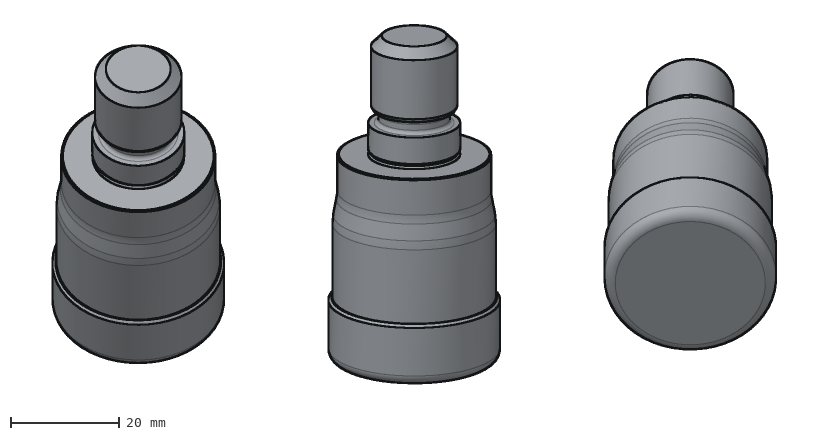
import cadquery as cq
import math

FOOT_RADIUS = 15.9
FOOT_TOP_Z = 12.0
FOOT_TOP_CHAMFER = 0.55
FOOT_BOTTOM_FILLET = 2.0
BARREL_RADIUS = 15.1
NECK_RADIUS = 14.25
HOUSING_TOP_Z = 39.9
HOUSING_TOP_CHAMFER_WIDTH = 0.3
HOUSING_TOP_CHAMFER_HEIGHT = 0.2

TAPER_BOTTOM_Z = 26.4
TAPER_TOP_Z = 32.9
BLEND_HEIGHT = 1.7

TOP_Z = 63.0
SHANK_RADIUS = 8.0
SHANK_BOTTOM_Z = 49.45
TIP_CHAMFER = 2.0
SHANK_END_RADIUS = 7.55
COLLAR_RADIUS = 8.5
COLLAR_TOP_Z = 46.05
COLLAR_BOTTOM_Z = 40.9
UNDERCUT_RADIUS = 6.6
UNDERCUT_FILLET = 0.75
UNDERCUT_TOP_Z = 48.7
GROOVE_RADIUS = 8.05
BASE_FILLET = 0.45


def make_housing():
    """Revolve the housing profile; the taper is an arc, a cone and an arc, all tangent."""
    radius_drop = BARREL_RADIUS - NECK_RADIUS
    taper_height = TAPER_TOP_Z - TAPER_BOTTOM_Z
    cone_angle = math.atan(radius_drop / (taper_height - BLEND_HEIGHT))
    blend_inset = BLEND_HEIGHT * math.tan(cone_angle / 2)
    foot_top_radius = FOOT_RADIUS - FOOT_TOP_CHAMFER
    profile = (
        cq.Workplane("XZ")
        .lineTo(FOOT_RADIUS - FOOT_BOTTOM_FILLET, 0)
        .tangentArcPoint((FOOT_RADIUS, FOOT_BOTTOM_FILLET), relative=False)
        .lineTo(FOOT_RADIUS, FOOT_TOP_Z - FOOT_TOP_CHAMFER)
        .lineTo(foot_top_radius, FOOT_TOP_Z)
        .lineTo(BARREL_RADIUS, FOOT_TOP_Z)
        .lineTo(BARREL_RADIUS, TAPER_BOTTOM_Z)
        .tangentArcPoint((BARREL_RADIUS - blend_inset, TAPER_BOTTOM_Z + BLEND_HEIGHT), relative=False)
        .lineTo(NECK_RADIUS + blend_inset, TAPER_TOP_Z - BLEND_HEIGHT)
        .tangentArcPoint((NECK_RADIUS, TAPER_TOP_Z), relative=False)
        .lineTo(NECK_RADIUS, HOUSING_TOP_Z - HOUSING_TOP_CHAMFER_HEIGHT)
        .lineTo(NECK_RADIUS - HOUSING_TOP_CHAMFER_WIDTH, HOUSING_TOP_Z)
        .lineTo(0, HOUSING_TOP_Z)
        .close()
    )
    return profile.revolve(360, (0, 0, 0), (0, 1, 0))


def make_stud():
    """Revolve the stud profile from its foot on the housing up to the tip."""
    groove_bottom_z = COLLAR_BOTTOM_Z - (COLLAR_RADIUS - GROOVE_RADIUS)
    base_radius = GROOVE_RADIUS + BASE_FILLET
    undercut_fillet_radius = UNDERCUT_RADIUS + UNDERCUT_FILLET
    undercut_bottom_z = COLLAR_TOP_Z + UNDERCUT_FILLET
    profile = (
        cq.Workplane("XZ")
        .moveTo(0, HOUSING_TOP_Z)
        .lineTo(base_radius, HOUSING_TOP_Z)
        .radiusArc((GROOVE_RADIUS, HOUSING_TOP_Z + BASE_FILLET), -BASE_FILLET)
        .lineTo(GROOVE_RADIUS, groove_bottom_z)
        .lineTo(COLLAR_RADIUS, COLLAR_BOTTOM_Z)
        .lineTo(COLLAR_RADIUS, COLLAR_TOP_Z)
        .lineTo(undercut_fillet_radius, COLLAR_TOP_Z)
        .tangentArcPoint((UNDERCUT_RADIUS, undercut_bottom_z), relative=False)
        .lineTo(UNDERCUT_RADIUS, UNDERCUT_TOP_Z - UNDERCUT_FILLET)
        .tangentArcPoint((undercut_fillet_radius, UNDERCUT_TOP_Z), relative=False)
        .lineTo(SHANK_END_RADIUS, UNDERCUT_TOP_Z)
        .lineTo(SHANK_RADIUS, SHANK_BOTTOM_Z)
        .lineTo(SHANK_RADIUS, TOP_Z - TIP_CHAMFER)
        .lineTo(SHANK_RADIUS - TIP_CHAMFER, TOP_Z)
        .lineTo(0, TOP_Z)
        .close()
    )
    return profile.revolve(360, (0, 0, 0), (0, 1, 0))


housing = make_housing()
stud = make_stud()

result = cq.Compound.makeCompound([housing.val(), stud.val()])